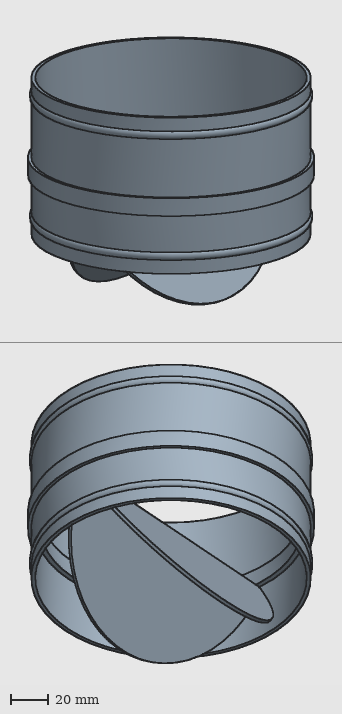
import cadquery as cq

height = 87.6
tube_outer_radius = 75.2
tube_inner_radius = 73.0

band_radius = 77.0
stop_inner_radius = 70.0
band_bottom = 33.0
band_height = 10.0

bead_inset = 9.9
bead_width = 4.3
bead_rise = 1.0

flap_radius = tube_inner_radius
flap_thickness = 2.0
flap_slope = 60.0
ridge_height = band_bottom


def ring(outer_radius, inner_radius, bottom, ring_height):
    """Plain ring around Z."""
    return (
        cq.Workplane("XY")
        .workplane(offset=bottom)
        .circle(outer_radius)
        .circle(inner_radius)
        .extrude(ring_height)
    )


def bead(center_height):
    """Rounded bead that runs around the tube, rooted in the middle of its wall."""
    root_radius = (tube_outer_radius + tube_inner_radius) / 2
    lower = center_height - bead_width / 2
    upper = center_height + bead_width / 2
    return (
        cq.Workplane("XZ")
        .moveTo(root_radius, lower)
        .lineTo(tube_outer_radius, lower)
        .threePointArc((tube_outer_radius + bead_rise, center_height), (tube_outer_radius, upper))
        .lineTo(root_radius, upper)
        .close()
        .revolve(360, (0, 0, 0), (0, 1, 0))
    )


def make_housing():
    """Tube with its joint band, stop ring and two beads."""
    body = ring(tube_outer_radius, tube_inner_radius, 0, height)
    body = body.union(ring(band_radius, stop_inner_radius, band_bottom, band_height))
    for center_height in (bead_inset, height - bead_inset):
        body = body.union(bead(center_height))
    return body


def flap_half():
    """Half disc sloping down toward +X, cut off at the plane X = 0 for the miter."""
    half_disc = (
        cq.Workplane("XY")
        .moveTo(0, -flap_radius)
        .threePointArc((flap_radius, 0), (0, flap_radius))
        .close()
        .extrude(-flap_thickness)
        .rotate((0, 0, 0), (0, 1, 0), flap_slope)
    )
    miter_side = (
        cq.Workplane("XY")
        .box(flap_radius, 2 * flap_radius, 2 * flap_radius, centered=(False, True, True))
        .translate((0, 0, -flap_radius))
    )
    return half_disc.intersect(miter_side).translate((0, 0, ridge_height))


def make_flap():
    """Both half discs joined along the ridge."""
    half = flap_half()
    return half.union(half.mirror("YZ"))


housing = make_housing()
flap = make_flap()

result = cq.Compound.makeCompound([*housing.solids().vals(), *flap.solids().vals()])